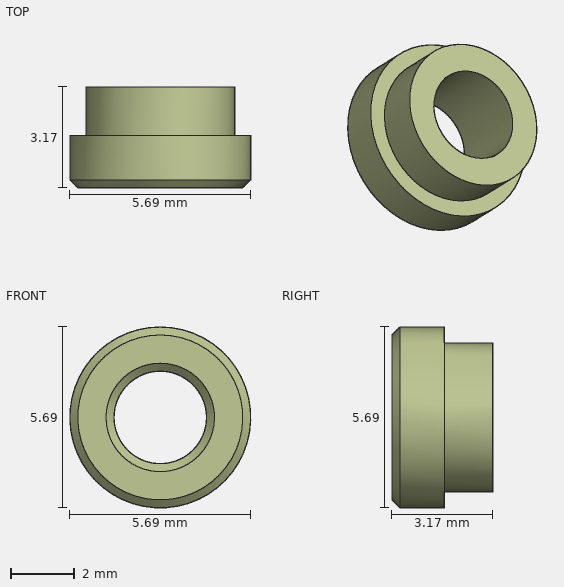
import cadquery as cq

flange_diameter = 5.69
shank_diameter = 4.685
bore_diameter = 2.9
total_length = 3.175
flange_length = 1.651
edge_chamfer = 0.254

flange_face_y = -total_length / 2
shoulder_y = flange_face_y + flange_length


def cylinder_along_y(diameter, start_y, length):
    """Solid cylinder on the Y axis, running from start_y toward +Y."""
    axis_start = cq.Vector(0, start_y, 0)
    return cq.Workplane(cq.Solid.makeCylinder(diameter / 2, length, axis_start, cq.Vector(0, 1, 0)))


def stepped_body():
    """Flange and shank joined at the shoulder."""
    flange = cylinder_along_y(flange_diameter, flange_face_y, flange_length)
    shank = cylinder_along_y(shank_diameter, shoulder_y, total_length - flange_length)
    return flange.union(shank)


bore = cylinder_along_y(bore_diameter, flange_face_y, total_length)
bored_body = stepped_body().cut(bore)

result = bored_body.faces("<Y").edges().chamfer(edge_chamfer)